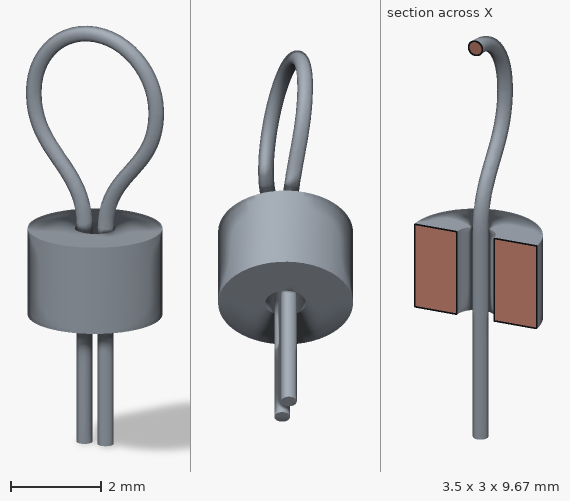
import cadquery as cq

total_height = 9.67
bead_diameter = 3.0
bead_height = 2.0
bead_bottom = 3.0
bead_top = bead_bottom + bead_height
bore_diameter = 0.9

wire_diameter = 0.35
loop_width = 3.5
leg_offset = 0.27
right_leg_shortfall = 0.03

loop_radius = (loop_width - wire_diameter) / 2
loop_top = total_height - wire_diameter / 2
loop_center = loop_top - loop_radius


def make_bead():
    """Cylindrical bead with a through bore for both wire legs."""
    return (
        cq.Workplane("XY", origin=(0, 0, bead_bottom))
        .circle(bead_diameter / 2)
        .circle(bore_diameter / 2)
        .extrude(bead_height)
    )


def make_wire_loop():
    """One round wire: straight leg, S-bend, half circle, S-bend, straight leg."""
    up = (0, 1)
    down = (0, -1)
    centerline = (
        cq.Workplane("XZ")
        .moveTo(-leg_offset, 0)
        .lineTo(-leg_offset, bead_top)
        .spline([(-loop_radius, loop_center)], tangents=[up, up], includeCurrent=True)
        .threePointArc((0, loop_top), (loop_radius, loop_center))
        .spline([(leg_offset, bead_top)], tangents=[down, down], includeCurrent=True)
        .lineTo(leg_offset, right_leg_shortfall)
    )
    return (
        cq.Workplane("XY", origin=(-leg_offset, 0, 0))
        .circle(wire_diameter / 2)
        .sweep(centerline)
    )


bead = make_bead()
wire_loop = make_wire_loop()

result = cq.Compound.makeCompound([bead.val(), wire_loop.val()])